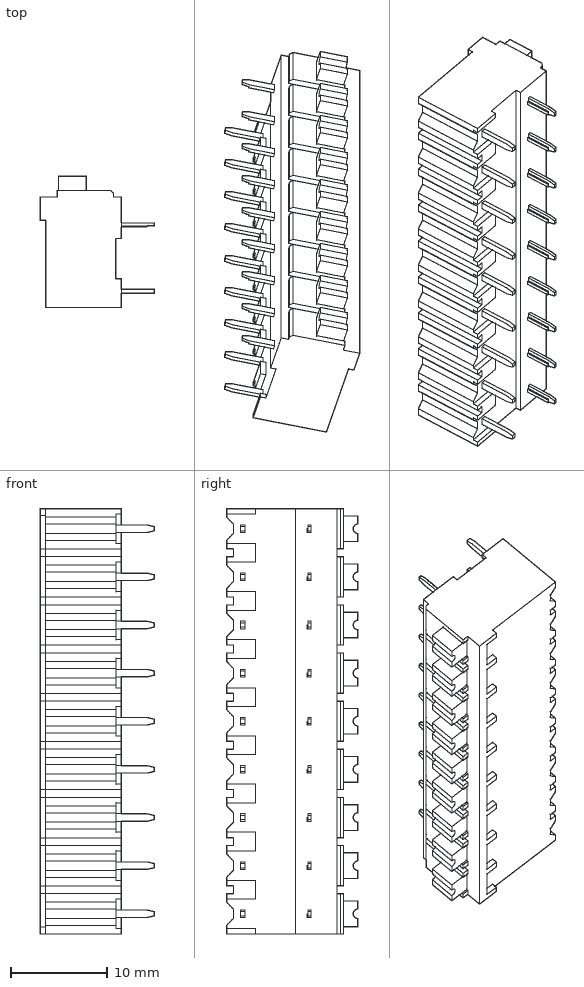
import cadquery as cq

module_count = 9
total_height = 44.2
module_gap = 0.8
pitch = (total_height + module_gap) / module_count
module_height = pitch - module_gap

housing_left = 0.57
housing_right = 8.45
housing_depth = 11.5
gap_depth = 0.7

lip_front = 10.45
tongue_front = 9.05
end_tongue_height = 0.7

block_left = 1.75
block_right = 7.65
block_depth = 12.15
block_chamfer = 0.3

tab_left = 1.9
tab_right = 4.8
tab_depth = 13.65
tab_height = 2.7
tab_clearance = 0.1
tab_notch_radius = 0.5

groove_mouth = 2.45
groove_floor = 0.97
groove_depth = 0.7

end_recess = 0.57
channel_front = 3.0
channel_rear = 7.15
pocket_height = 3.05

front_pin_row = 1.7
rear_pin_row = 8.57
pin_tip = 11.9
pin_taper_start = 11.15
pin_height = 0.8
pin_tip_height = 0.45
pin_thickness = 0.45
rear_pin_step = 0.15


def box(x_range, y_range, z_range):
    """Axis-aligned box given by its limits along each axis."""
    sizes = [high - low for low, high in (x_range, y_range, z_range)]
    corner = (x_range[0], y_range[0], z_range[0])
    return cq.Workplane("XY").box(*sizes, centered=False).translate(corner)


def centred(middle, size):
    """Limits of a span of the given size about its middle."""
    return (middle - size / 2, middle + size / 2)


def make_housing():
    """Main body, with the lip and its tongues on the left face."""
    housing = box((housing_left, housing_right), (0, housing_depth), (0, total_height))
    lip = box((0, housing_left), (lip_front, housing_depth), (0, total_height))
    housing = housing.union(lip)
    tongues = [(0, end_tongue_height), (total_height - end_tongue_height, total_height)]
    for index in range(1, module_count):
        gap_top = index * pitch
        tongues.append((gap_top - module_gap, gap_top))
    for z_range in tongues:
        housing = housing.union(box((0, housing_left), (tongue_front, housing_depth), z_range))
    return housing


def cut_module_gaps(body):
    """Slots across the front face between neighbouring modules."""
    for index in range(1, module_count):
        gap_top = index * pitch
        body = body.cut(
            box((housing_left, housing_right), (0, gap_depth), (gap_top - module_gap, gap_top))
        )
    return body


def cut_channel(body):
    """Channel between the pin rows, running the full height of the right face."""
    x_range = (housing_right - end_recess, housing_right)
    return body.cut(box(x_range, (channel_front, channel_rear), (0, total_height)))


def make_groove(middle):
    """Cutter for the tapered groove, running the whole width in X."""
    return (
        cq.Workplane("YZ")
        .polyline([
            (0, middle - groove_mouth / 2),
            (groove_depth, middle - groove_floor / 2),
            (groove_depth, middle + groove_floor / 2),
            (0, middle + groove_mouth / 2),
        ])
        .close()
        .extrude(housing_right)
    )


def make_pocket(middle):
    """Cutter for the pocket around the front pin, open to the front and right."""
    return box(
        (housing_right - end_recess, housing_right),
        (0, channel_front),
        centred(middle, pocket_height),
    )


def make_block(bottom):
    """Raised block with a chamfered right-hand corner and a slot for the tab."""
    block = (
        box((block_left, block_right), (housing_depth, block_depth), (bottom, bottom + module_height))
        .edges("|Z and >X and >Y")
        .chamfer(block_chamfer)
    )
    slot = box(
        (block_left, tab_right),
        (housing_depth, block_depth),
        centred(bottom + module_height / 2, tab_height + 2 * tab_clearance),
    )
    return block.cut(slot)


def make_tab(middle):
    """Push tab with a round notch across its rear face."""
    tab = box((tab_left, tab_right), (housing_depth, tab_depth), centred(middle, tab_height))
    notch = (
        cq.Workplane("YZ")
        .center(tab_depth, middle)
        .circle(tab_notch_radius)
        .extrude(tab_right)
    )
    return tab.cut(notch)


def make_pin(row, middle):
    """Flat pin pointing along +X, tapered in height at its tip."""
    half = pin_height / 2
    tip_half = pin_tip_height / 2
    root = housing_right - end_recess
    return (
        cq.Workplane("XZ", origin=(0, row + pin_thickness / 2, middle))
        .polyline([
            (root, -half),
            (pin_taper_start, -half),
            (pin_tip, -tip_half),
            (pin_tip, tip_half),
            (pin_taper_start, half),
            (root, half),
        ])
        .close()
        .extrude(pin_thickness)
    )


def make_rear_pin(middle):
    """Rear pin, thinned at the front along its upper half and over its whole tip."""
    front = rear_pin_row - pin_thickness / 2
    bottom = middle - pin_height / 2
    top = middle + pin_height / 2
    step = (front, front + rear_pin_step)
    upper_half = box((housing_right, pin_tip), step, (middle, top))
    tip = box((pin_taper_start, pin_tip), step, (bottom, top))
    return make_pin(rear_pin_row, middle).cut(upper_half).cut(tip)


result = cut_module_gaps(make_housing())
result = cut_channel(result)
for index in range(module_count):
    bottom = index * pitch
    middle = bottom + module_height / 2
    result = result.cut(make_groove(middle)).cut(make_pocket(middle))
    result = result.union(make_block(bottom)).union(make_tab(middle))
    result = result.union(make_pin(front_pin_row, middle)).union(make_rear_pin(middle))